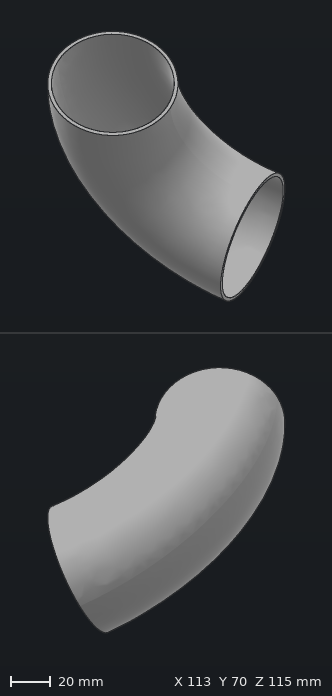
import cadquery as cq

overall_height = 115.0
top_diameter = 66.0
side_diameter = 70.0
wall = 2.0
bend_radius = overall_height - side_diameter / 2


def tapered_bend(start_diameter, end_diameter):
    """Solid quarter bend from the upward mouth at the origin to the +X mouth."""
    path = cq.Workplane("XZ").radiusArc((bend_radius, -bend_radius), -bend_radius)
    return (
        cq.Workplane("XY")
        .circle(start_diameter / 2)
        .workplane(offset=-bend_radius)
        .center(bend_radius, 0)
        .transformed(rotate=(0, 90, 0))
        .circle(end_diameter / 2)
        .sweep(path, multisection=True)
    )


outer = tapered_bend(top_diameter, side_diameter)
bore = tapered_bend(top_diameter - 2 * wall, side_diameter - 2 * wall)

result = outer.cut(bore)